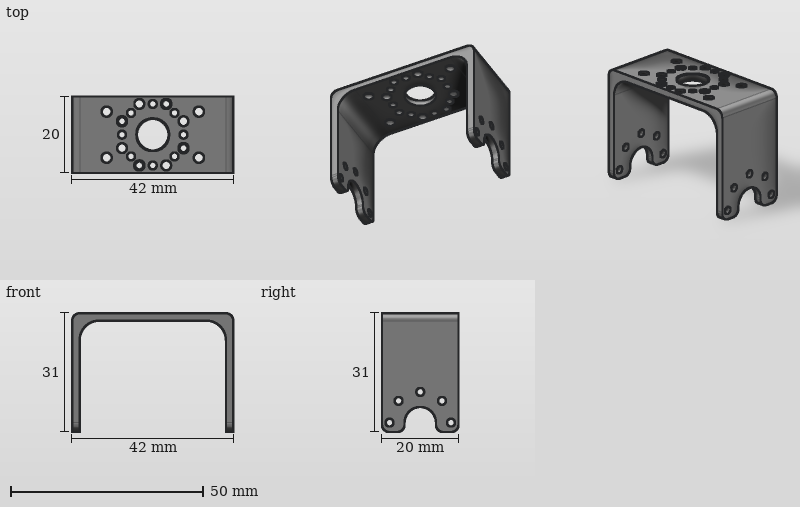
import cadquery as cq
import math

LENGTH = 42.0
WIDTH = 20.0
HEIGHT = 31.0
WALL = 2.0
OUTER_BEND_RADIUS = 2.0
INNER_BEND_RADIUS = 5.0

BOLT_CIRCLE_RADIUS = 8.0
BOLT_HOLE_DIAMETER = 2.0

HORN_AXIS_HEIGHT = 2.5
NOTCH_RADIUS = 4.05
LEG_CORNER_RADIUS = 2.0
LEG_HOLE_ANGLES = (0, 45, 90, 135, 180)

CENTRE_BORE_DIAMETER = 8.2
CENTRE_BORE_ENTRY_DIAMETER = 8.6
BOLT_HOLE_COUNT = 8
PAIR_FAR_OFFSET = BOLT_CIRCLE_RADIUS
PAIR_NEAR_OFFSET = 3.5
CLEARANCE_DIAMETER = 2.5
COUNTERSUNK_DIAMETER = 2.05
COUNTERSINK_ENTRY_DIAMETER = 2.7
COUNTERSINK_ANGLE = 90.0
MOUNT_HOLE_DIAMETER = 2.6
MOUNT_SPACING_X = 24.0
MOUNT_SPACING_Y = 12.0


def make_channel():
    """Upside-down U: the block less its hollow, with rounded bends."""
    outer = cq.Workplane("XY").box(LENGTH, WIDTH, HEIGHT, centered=(True, True, False))
    outer = outer.edges("|Y and >Z").fillet(OUTER_BEND_RADIUS)
    hollow = cq.Workplane("XY").box(
        LENGTH - 2 * WALL, WIDTH, HEIGHT - WALL, centered=(True, True, False)
    )
    hollow = hollow.edges("|Y and >Z").fillet(INNER_BEND_RADIUS)
    return outer.cut(hollow)


def round_leg_ends(body):
    """Round both legs about the horn axis, down from its height, to the bracket width."""
    upper = cq.Workplane("XY").workplane(offset=HORN_AXIS_HEIGHT).box(
        LENGTH, WIDTH, HEIGHT - HORN_AXIS_HEIGHT, centered=(True, True, False)
    )
    disc = (
        cq.Workplane("YZ")
        .center(0, HORN_AXIS_HEIGHT)
        .circle(WIDTH / 2)
        .extrude(LENGTH / 2, both=True)
    )
    return body.intersect(upper.union(disc))


def cut_leg_notches(body):
    """Open a round-topped notch in both legs, then round all the lower corners."""
    notch = (
        cq.Workplane("YZ")
        .moveTo(-NOTCH_RADIUS, 0)
        .lineTo(-NOTCH_RADIUS, HORN_AXIS_HEIGHT)
        .threePointArc((0, HORN_AXIS_HEIGHT + NOTCH_RADIUS), (NOTCH_RADIUS, HORN_AXIS_HEIGHT))
        .lineTo(NOTCH_RADIUS, 0)
        .close()
        .extrude(LENGTH / 2, both=True)
    )
    body = body.cut(notch)
    return body.faces("<Z").edges("|X").fillet(LEG_CORNER_RADIUS)


def cut_leg_holes(body):
    """Drill the half bolt circle above the notch through both legs."""
    centres = [
        (
            BOLT_CIRCLE_RADIUS * math.cos(math.radians(angle)),
            HORN_AXIS_HEIGHT + BOLT_CIRCLE_RADIUS * math.sin(math.radians(angle)),
        )
        for angle in LEG_HOLE_ANGLES
    ]
    drills = (
        cq.Workplane("YZ")
        .pushPoints(centres)
        .circle(BOLT_HOLE_DIAMETER / 2)
        .extrude(LENGTH / 2, both=True)
    )
    return body.cut(drills)


def drill_web(body, centres, diameter, entry_diameter=None):
    """Drill holes down through the web, with an optional countersunk entry."""
    drill_points = body.faces(">Z").workplane(origin=(0, 0, HEIGHT)).pushPoints(centres)
    if entry_diameter:
        return drill_points.cskHole(diameter, entry_diameter, COUNTERSINK_ANGLE, depth=WALL)
    return drill_points.hole(diameter, depth=WALL)


def quarter_turns(x, y):
    """The four places a point takes when turned about Z in 90 degree steps."""
    return [(x, y), (-y, x), (-x, -y), (y, -x)]


def cut_web_holes(body):
    """Cut the centre bore, bolt circle, paired holes and mounting holes."""
    body = drill_web(body, [(0, 0)], CENTRE_BORE_DIAMETER, CENTRE_BORE_ENTRY_DIAMETER)

    bolt_centres = [
        (
            BOLT_CIRCLE_RADIUS * math.cos(2 * math.pi * i / BOLT_HOLE_COUNT),
            BOLT_CIRCLE_RADIUS * math.sin(2 * math.pi * i / BOLT_HOLE_COUNT),
        )
        for i in range(BOLT_HOLE_COUNT)
    ]
    body = drill_web(body, bolt_centres, BOLT_HOLE_DIAMETER)

    clearance_centres = quarter_turns(PAIR_FAR_OFFSET, PAIR_NEAR_OFFSET)
    body = drill_web(body, clearance_centres, CLEARANCE_DIAMETER)

    countersunk_centres = quarter_turns(PAIR_FAR_OFFSET, -PAIR_NEAR_OFFSET)
    body = drill_web(body, countersunk_centres, COUNTERSUNK_DIAMETER, COUNTERSINK_ENTRY_DIAMETER)

    mount_centres = [
        (side_x * MOUNT_SPACING_X / 2, side_y * MOUNT_SPACING_Y / 2)
        for side_x in (-1, 1)
        for side_y in (-1, 1)
    ]
    return drill_web(body, mount_centres, MOUNT_HOLE_DIAMETER)


channel = make_channel()
rounded_legs = round_leg_ends(channel)
notched = cut_leg_notches(rounded_legs)
drilled_legs = cut_leg_holes(notched)
result = cut_web_holes(drilled_legs)